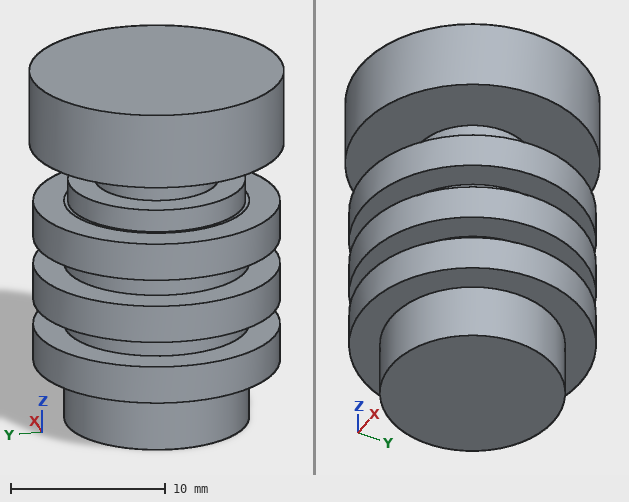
import cadquery as cq

barrel_diameter = 12.0
barrel_height = 15.0

ring_diameter = 16.0
ring_height = 2.5
lower_ring_base = 4.0
middle_ring_base = 8.2
top_ring_base = barrel_height - ring_height
ring_bases = (lower_ring_base, middle_ring_base, top_ring_base)

collar_diameter = 11.5
collar_height = 1.5
collar_base = barrel_height

neck_diameter = 8.0
neck_height = 2.5
neck_base = collar_base + collar_height

head_diameter = 16.5
head_height = 5.0
head_base = neck_base + neck_height


def make_disc(diameter, height, base):
    """Solid cylinder on the Z axis, standing on the level `base`."""
    return cq.Workplane("XY").workplane(offset=base).circle(diameter / 2).extrude(height)


def make_ring(base):
    """Flat ring whose bore fits the outside of the barrel."""
    blank = make_disc(ring_diameter, ring_height, base)
    bore = make_disc(barrel_diameter, ring_height, base)
    return blank.cut(bore)


barrel = make_disc(barrel_diameter, barrel_height, 0)
rings = [make_ring(base) for base in ring_bases]
collar = make_disc(collar_diameter, collar_height, collar_base)
neck = make_disc(neck_diameter, neck_height, neck_base)
head = make_disc(head_diameter, head_height, head_base)

result = cq.Compound.makeCompound(
    [
        barrel.val(),
        *[ring.val() for ring in rings],
        collar.val(),
        neck.val(),
        head.val(),
    ]
)